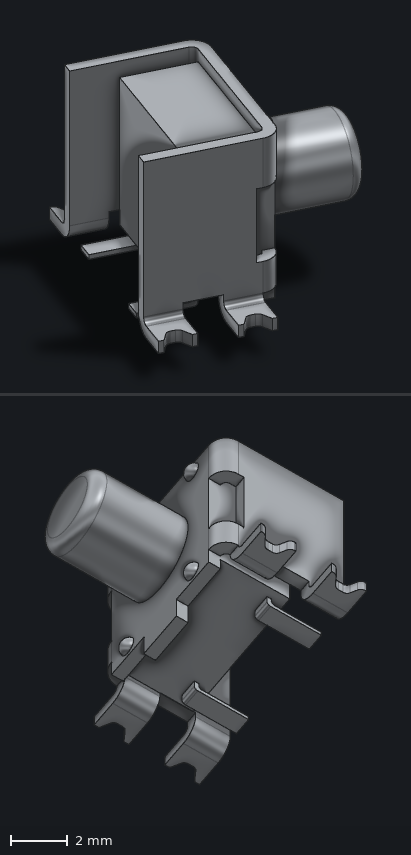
import cadquery as cq
import math


sheet = 0.5
bend_inner = 0.25
bend_outer = bend_inner + sheet

body_width = 5.99
body_height = 5.99
body_back_y = -3.5
body_bottom = 0.55
body_center_z = body_bottom + body_height / 2

bracket_half_width = body_width / 2 + bend_outer
bracket_depth = 5.3
bracket_top = 7.06
wall_bottom = bend_outer
tab_width = 2.01
tab_length = 1.0
bend_relief_height = 3.01
bend_relief_depth = 1.0

foot_tip_x = 5.15
foot_width = 1.5
foot_front_ys = (-bend_outer, foot_width - bracket_depth)
foot_gap_top = 1.0
notch_depth = 0.52
notch_root_width = 0.48
notch_root_radius = 0.25
notch_flank_angle = math.radians(30)
prong_radius = 0.27

button_diameter = 3.45
button_length = 4.0
button_rounding = 0.49
dome_diameter = 0.75
dome_sink = 0.07
dome_x = 2.0

pin_x = 2.25
pin_width = 0.75
pin_thickness = 0.2
pin_bottom = 0.07
pin_front_y = -2.78
pin_end_y = -5.13
pin_bend_outer = 0.15
pin_bend_inner = 0.15


def block(x_range, y_range, z_range):
    """Box spanning the given (low, high) ranges."""
    lows, highs = zip(x_range, y_range, z_range)
    size = [high - low for low, high in zip(lows, highs)]
    return cq.Workplane("XY").box(*size, centered=False).translate(lows)


def bent_walls():
    """U-shaped wall: front plate, two bends and two side plates."""
    inner_half = bracket_half_width - sheet
    wall_z = (wall_bottom, bracket_top)
    outer = block((-bracket_half_width, bracket_half_width), (-bracket_depth, 0), wall_z)
    inner = block((-inner_half, inner_half), (-bracket_depth, -sheet), wall_z)
    outer = outer.edges("|Z and >Y").fillet(bend_outer)
    inner = inner.edges("|Z and >Y").fillet(bend_inner)
    walls = outer.cut(inner)

    relief_z = (body_center_z - bend_relief_height / 2, body_center_z + bend_relief_height / 2)
    foot_gap_y = (foot_front_ys[1], foot_front_ys[0] - foot_width)
    for x_range in ((-bracket_half_width, -body_width / 2), (body_width / 2, bracket_half_width)):
        walls = walls.cut(block(x_range, (-bend_relief_depth, 0), relief_z))
        walls = walls.cut(block(x_range, foot_gap_y, (wall_bottom, foot_gap_top)))
    return walls


def front_plate_skirt():
    """Lower edge of the front plate with its locating tab."""
    skirt = block((-body_width / 2, body_width / 2), (-sheet, 0), (0, wall_bottom))
    tab = block((-tab_width / 2, tab_width / 2), (-sheet, 0), (-tab_length, 0))
    return skirt.union(tab)


def foot_notch(center_y):
    """Cutter for the flared notch with rounded root corners in the tip of a +X foot."""
    root_x = foot_tip_x - notch_depth
    root_y = notch_root_width / 2
    mouth_y = root_y + notch_depth * math.tan(notch_flank_angle)
    return (
        cq.Workplane("XY", origin=(0, center_y, 0))
        .polyline([(foot_tip_x, -mouth_y), (root_x, -root_y), (root_x, root_y), (foot_tip_x, mouth_y)])
        .close()
        .extrude(sheet)
        .edges("|Z and <X")
        .fillet(notch_root_radius)
    )


def foot(front_y):
    """Foot on the +X side, bent outwards from the side plate."""
    bend_center_x = bracket_half_width + bend_inner
    diagonal = math.sqrt(0.5)
    strip = (
        cq.Workplane("XZ", origin=(0, front_y, 0))
        .moveTo(bracket_half_width - sheet, wall_bottom)
        .threePointArc(
            (bend_center_x - bend_outer * diagonal, wall_bottom - bend_outer * diagonal),
            (bend_center_x, 0),
        )
        .lineTo(foot_tip_x, 0)
        .lineTo(foot_tip_x, sheet)
        .lineTo(bend_center_x, sheet)
        .threePointArc(
            (bend_center_x - bend_inner * diagonal, wall_bottom - bend_inner * diagonal),
            (bracket_half_width, wall_bottom),
        )
        .close()
        .extrude(foot_width)
    )
    return strip.cut(foot_notch(front_y - foot_width / 2))


def rounded_foot(front_y):
    """Foot on the -X side, with the notch corners of both prongs rounded."""
    notch_mouth = cq.selectors.BoxSelector(
        (foot_tip_x - prong_radius / 2, front_y - foot_width + prong_radius / 2, -sheet),
        (foot_tip_x + prong_radius / 2, front_y - prong_radius / 2, 2 * sheet),
    )
    rounded = foot(front_y).edges("|Z").edges(notch_mouth).fillet(prong_radius)
    return rounded.mirror("YZ")


def button():
    """Round plunger with a rounded end, starting inside the front plate."""
    return (
        cq.Workplane("XZ", origin=(0, -sheet, body_center_z))
        .circle(button_diameter / 2)
        .extrude(-(button_length + sheet))
        .faces(">Y")
        .edges()
        .fillet(button_rounding)
    )


def dome(x, z):
    """Ball-shaped bump on the front plate."""
    return cq.Workplane("XY").sphere(dome_diameter / 2).translate((x, -dome_sink, z))


def pin(x):
    """L-shaped terminal leaving the body underside and running backwards."""
    pin_top = pin_bottom + pin_thickness
    pin_back_y = pin_front_y - pin_thickness
    profile = (
        cq.Workplane("YZ", origin=(x - pin_width / 2, 0, 0))
        .moveTo(pin_front_y, body_bottom)
        .lineTo(pin_front_y, pin_bottom)
        .lineTo(pin_end_y, pin_bottom)
        .lineTo(pin_end_y, pin_top)
        .lineTo(pin_back_y, pin_top)
        .lineTo(pin_back_y, body_bottom)
        .close()
        .extrude(pin_width)
    )
    outer_corner = cq.selectors.NearestToPointSelector((x, pin_front_y, pin_bottom))
    inner_corner = cq.selectors.NearestToPointSelector((x, pin_back_y, pin_top))
    profile = profile.edges("|X").edges(outer_corner).fillet(pin_bend_outer)
    return profile.edges("|X").edges(inner_corner).fillet(pin_bend_inner)


body = block(
    (-body_width / 2, body_width / 2),
    (body_back_y, -sheet),
    (body_bottom, body_bottom + body_height),
)

result = body.union(bent_walls()).union(front_plate_skirt()).union(button())

for foot_y in foot_front_ys:
    result = result.union(foot(foot_y)).union(rounded_foot(foot_y))

for side in (-1, 1):
    result = result.union(pin(side * pin_x))
    for dome_z in (body_bottom, body_bottom + body_height):
        result = result.union(dome(side * dome_x, dome_z))